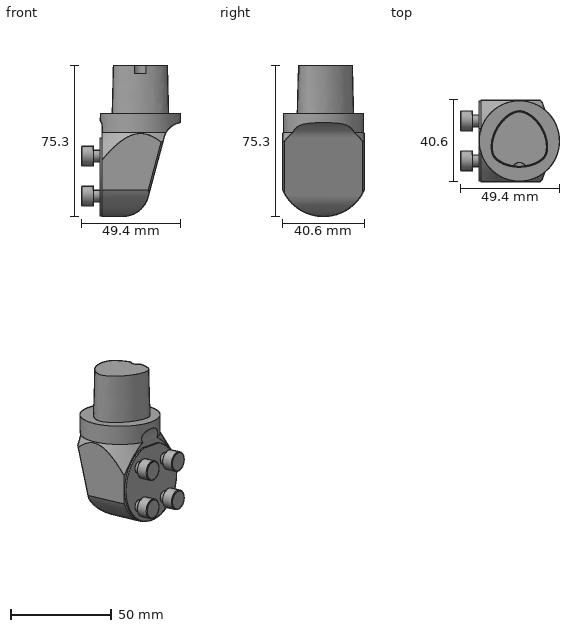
import cadquery as cq
import math


bottom_z = -51.35
body_width = 40.6

shank_height = 23.95
shank_mean_radius = 14.1
lobe_height = 1.0
shank_taper = 1 / 40
shank_points = 72
notch_radius = 3.3
notch_center_y = -14.0
notch_depth = 4.15

flange_radius = 40.0 / 2
flange_thickness = 9.5
cone_half_angle = math.radians(30)

face_x = -19.2
hollow_radius = 8.7
hollow_center_z = -7.5

slope_angle = math.radians(15)
neck_radius = 10.0
neck_center_x = 21.5
neck_center_z = -14.45
heel_radius = 13.4
edge_chamfer = 0.9
outline_shoulder_z = -38.0

plate_thickness = 1.0
plate_radius = 19.95
plate_center_z = -31.2
plate_top_z = -12.2
screw_offset = 9.95
screw_shank_diameter = 6.0
screw_head_diameter = 10.0
screw_head_height = 6.0
screw_tip_x = -29.4
screw_chamfer = 0.4

plate_face_x = face_x - plate_thickness
hollow_center_x = face_x - math.sqrt(hollow_radius**2 - (hollow_center_z + flange_thickness) ** 2)
slope_cos = math.cos(slope_angle)
slope_sin = math.sin(slope_angle)

slope_top_x = neck_center_x - neck_radius * slope_cos
slope_top_z = neck_center_z + neck_radius * slope_sin


def slope_x(z):
    """X of the sloping back at height z."""
    return slope_top_x + (z - slope_top_z) * math.tan(slope_angle)


def arc_point(center_x, center_z, radius, angle):
    return (center_x + radius * math.cos(angle), center_z + radius * math.sin(angle))


def make_envelope():
    """Flange cylinder that widens into a cone below."""
    cone_bottom_radius = flange_radius + (-flange_thickness - bottom_z) * math.tan(cone_half_angle)
    return (
        cq.Workplane("XZ")
        .moveTo(0, 0)
        .lineTo(flange_radius, 0)
        .lineTo(flange_radius, -flange_thickness)
        .lineTo(cone_bottom_radius, bottom_z)
        .lineTo(0, bottom_z)
        .close()
        .revolve(360, (0, 0, 0), (0, 1, 0))
    )


def make_side_profile():
    """XZ profile: hollow over the mounting face, sloping back, rounded heel and neck."""
    hollow_top_z = hollow_center_z + math.sqrt(hollow_radius**2 - (-flange_radius - hollow_center_x) ** 2)

    heel_center_z = bottom_z + heel_radius
    heel_turn = math.pi / 2 - slope_angle
    heel_center_x = slope_x(bottom_z) - heel_radius * math.tan(heel_turn / 2)

    neck_end_z = neck_center_z + math.sqrt(neck_radius**2 - (flange_radius - neck_center_x) ** 2)
    neck_middle_angle = math.radians(135)
    return (
        cq.Workplane("XZ")
        .moveTo(-flange_radius, 0)
        .lineTo(-flange_radius, hollow_top_z)
        .threePointArc((hollow_center_x + hollow_radius, hollow_center_z), (face_x, -flange_thickness))
        .lineTo(face_x, bottom_z)
        .lineTo(heel_center_x, bottom_z)
        .threePointArc(
            arc_point(heel_center_x, heel_center_z, heel_radius, -slope_angle - heel_turn / 2),
            arc_point(heel_center_x, heel_center_z, heel_radius, -slope_angle),
        )
        .lineTo(slope_top_x, slope_top_z)
        .threePointArc(
            arc_point(neck_center_x, neck_center_z, neck_radius, neck_middle_angle),
            (flange_radius, neck_end_z),
        )
        .lineTo(flange_radius, 0)
        .close()
        .extrude(body_width / 2, both=True)
    )


def make_end_outline():
    """YZ outline: flat sides and one wide arc across the bottom."""
    half_width = body_width / 2
    return (
        cq.Workplane("YZ")
        .moveTo(-half_width, 0)
        .lineTo(-half_width, outline_shoulder_z)
        .threePointArc((0, bottom_z), (half_width, outline_shoulder_z))
        .lineTo(half_width, 0)
        .close()
        .extrude(body_width, both=True)
    )


def make_edge_cutter(side):
    """Triangular bar along the edge between the sloping back and one flat side."""
    start = (slope_x(bottom_z), side * body_width / 2, bottom_z)
    along_slope = cq.Plane(origin=start, xDir=(slope_cos, 0, -slope_sin), normal=(slope_sin, 0, slope_cos))
    length = (slope_top_z - bottom_z) / slope_cos
    corners = [
        (-edge_chamfer, side * edge_chamfer),
        (-edge_chamfer, 0),
        (0, -side * edge_chamfer),
        (edge_chamfer, -side * edge_chamfer),
        (edge_chamfer, side * edge_chamfer),
    ]
    return cq.Workplane(along_slope).polyline(corners).close().extrude(length)


def make_body():
    body = make_envelope().intersect(make_side_profile()).intersect(make_end_outline())
    for side in (-1, 1):
        body = body.cut(make_edge_cutter(side))
    return body


def lobed_outline(mean_radius):
    """Three-lobed curve of constant width with one lobe toward +Y."""
    points = []
    for index in range(shank_points):
        angle = 2 * math.pi * index / shank_points
        lobe_angle = 3 * (angle - math.pi / 2)
        distance = mean_radius + lobe_height * math.cos(lobe_angle)
        slide = -3 * lobe_height * math.sin(lobe_angle)
        x = distance * math.cos(angle) - slide * math.sin(angle)
        y = distance * math.sin(angle) + slide * math.cos(angle)
        points.append((x, y))
    return points


def make_shank():
    top_mean_radius = shank_mean_radius - shank_height * shank_taper
    shank = (
        cq.Workplane("XY")
        .spline(lobed_outline(shank_mean_radius), periodic=True)
        .close()
        .workplane(offset=shank_height)
        .spline(lobed_outline(top_mean_radius), periodic=True)
        .close()
        .loft(ruled=True)
    )
    notch = (
        cq.Workplane("XY", origin=(0, notch_center_y, shank_height - notch_depth))
        .circle(notch_radius)
        .extrude(notch_depth)
    )
    return shank.cut(notch)


def make_plate():
    """Round plate on the mounting face with its top cut flat."""
    flat_half_width = math.sqrt(plate_radius**2 - (plate_top_z - plate_center_z) ** 2)
    return (
        cq.Workplane("YZ", origin=(plate_face_x, 0, 0))
        .moveTo(-flat_half_width, plate_top_z)
        .threePointArc((0, plate_center_z - plate_radius), (flat_half_width, plate_top_z))
        .close()
        .extrude(plate_thickness)
    )


def make_screw(y, z):
    """Cylindrical screw head on a thinner shank that reaches the mounting face."""
    head = (
        cq.Workplane("YZ", origin=(screw_tip_x, y, z))
        .circle(screw_head_diameter / 2)
        .extrude(screw_head_height)
        .faces("<X")
        .chamfer(screw_chamfer)
    )
    shank = (
        cq.Workplane("YZ", origin=(screw_tip_x, y, z))
        .circle(screw_shank_diameter / 2)
        .extrude(face_x - screw_tip_x)
    )
    return head.union(shank)


result = make_body().union(make_shank()).union(make_plate())
for y_side in (-1, 1):
    for z_side in (-1, 1):
        result = result.union(make_screw(y_side * screw_offset, plate_center_z + z_side * screw_offset))